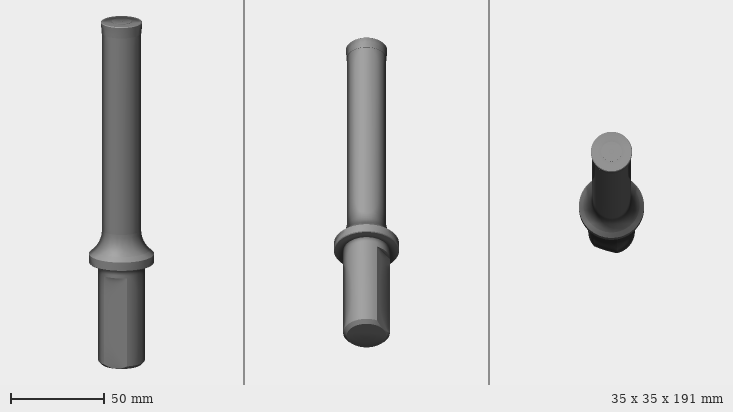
import cadquery as cq

TOTAL_LENGTH = 191.0
SHANK_LENGTH = 56.3
FLANGE_RIM_HEIGHT = 5.0
FLANGE_BEVEL_HEIGHT = 2.3
FLANGE_BEVEL_RUN = 2.5
FILLET_HEIGHT = 11.0
TIP_LENGTH = 6.7

SHANK_DIAMETER = 25.0
FLANGE_DIAMETER = 35.0
NECK_DIAMETER = 21.0
TIP_BASE_DIAMETER = 21.4
TIP_END_DIAMETER = 22.2
TIP_FACE_DIAMETER = 11.0
CENTRE_DIAMETER = 1.7

SHANK_CHAMFER = 2.0
FLANGE_EDGE_CHAMFER = 0.4
TIP_EDGE_CHAMFER = 0.4
FACE_STEP = 0.2
FLAT_TOP = 51.0
FLAT_DISTANCE = 10.7

shank_radius = SHANK_DIAMETER / 2
flange_radius = FLANGE_DIAMETER / 2
neck_radius = NECK_DIAMETER / 2
bevel_bottom = SHANK_LENGTH + FLANGE_RIM_HEIGHT
bevel_top = bevel_bottom + FLANGE_BEVEL_HEIGHT
bevel_top_radius = flange_radius - FLANGE_BEVEL_RUN
fillet_top = bevel_top + FILLET_HEIGHT
tip_bottom = TOTAL_LENGTH - TIP_LENGTH


def make_holder():
    """Turned holder: chamfered shank, flange, concave fillet and long neck."""
    profile = (
        cq.Workplane("XZ")
        .lineTo(shank_radius - SHANK_CHAMFER, 0)
        .lineTo(shank_radius, SHANK_CHAMFER)
        .lineTo(shank_radius, SHANK_LENGTH)
        .lineTo(flange_radius - FLANGE_EDGE_CHAMFER, SHANK_LENGTH)
        .lineTo(flange_radius, SHANK_LENGTH + FLANGE_EDGE_CHAMFER)
        .lineTo(flange_radius, bevel_bottom)
        .lineTo(bevel_top_radius, bevel_top)
    )
    fillet_run = bevel_top_radius - neck_radius
    fillet_radius = (fillet_run**2 + FILLET_HEIGHT**2) / (2 * fillet_run)
    profile = (
        profile.radiusArc((neck_radius, fillet_top), fillet_radius)
        .lineTo(neck_radius, tip_bottom)
        .lineTo(0, tip_bottom)
        .close()
    )
    return cut_flat(profile.revolve(360, (0, 0, 0), (0, 1, 0)))


def cut_flat(holder):
    """Clamping flat on the -Y side of the shank, open at the shank end."""
    cutter = cq.Workplane("XY").box(
        SHANK_DIAMETER, SHANK_DIAMETER, FLAT_TOP, centered=(True, False, False)
    )
    return holder.cut(cutter.translate((0, -FLAT_DISTANCE - SHANK_DIAMETER, 0)))


def make_tip():
    """Slightly flared tip with a shallow raised face and a centre mark."""
    base_radius = TIP_BASE_DIAMETER / 2
    end_radius = TIP_END_DIAMETER / 2
    face_radius = TIP_FACE_DIAMETER / 2
    centre_radius = CENTRE_DIAMETER / 2
    shoulder = TOTAL_LENGTH - 2 * FACE_STEP
    return (
        cq.Workplane("XZ")
        .moveTo(0, tip_bottom)
        .lineTo(base_radius, tip_bottom)
        .lineTo(end_radius, shoulder - TIP_EDGE_CHAMFER)
        .lineTo(end_radius - TIP_EDGE_CHAMFER, shoulder)
        .lineTo(face_radius, shoulder)
        .lineTo(face_radius, TOTAL_LENGTH - FACE_STEP)
        .lineTo(centre_radius, TOTAL_LENGTH - FACE_STEP)
        .lineTo(centre_radius, TOTAL_LENGTH)
        .lineTo(0, TOTAL_LENGTH)
        .close()
        .revolve(360, (0, 0, 0), (0, 1, 0))
    )


holder = make_holder()
tip = make_tip()
result = cq.Compound.makeCompound([holder.val(), tip.val()])